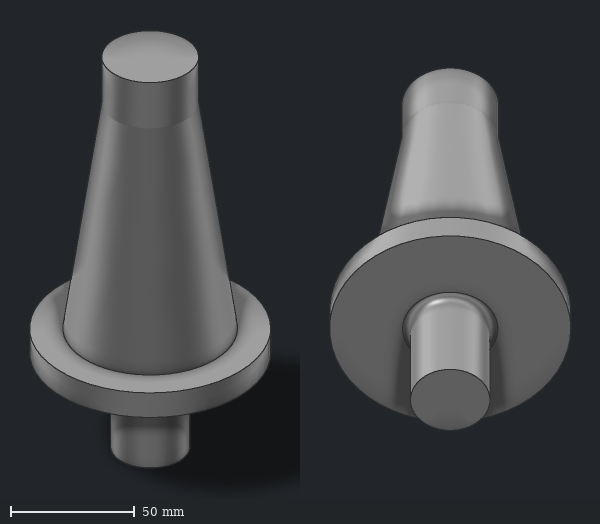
import cadquery as cq
import math

total_height = 186.8
flange_bottom = 45.0
flange_thickness = 11.8
tip_length = 22.0
flange_top = flange_bottom + flange_thickness
cone_top = total_height - tip_length

flange_radius = 97.5 / 2
cone_base_radius = 70.6 / 2
tip_radius = 39.2 / 2
shank_radius = 32.1 / 2

root_height = 5.0
root_width = 3.2


def make_shank():
    """Lower cylinder carrying the flange."""
    return cq.Workplane("XY").circle(shank_radius).extrude(flange_bottom)


def make_root_fillet():
    """Concave ring that blends the shank into the underside of the flange."""
    fillet_start = flange_bottom - root_height
    arc_radius = (root_width**2 + root_height**2) / (2 * root_width)
    half_sweep = math.atan2(root_width, root_height)
    arc_middle = (
        shank_radius + arc_radius * (1 - math.cos(half_sweep)),
        fillet_start + arc_radius * math.sin(half_sweep),
    )
    return (
        cq.Workplane("XZ")
        .moveTo(0, fillet_start)
        .lineTo(shank_radius, fillet_start)
        .threePointArc(arc_middle, (shank_radius + root_width, flange_bottom))
        .lineTo(0, flange_bottom)
        .close()
        .revolve(360, (0, 0), (0, 1))
    )


def make_flange():
    """Flat round collar."""
    return cq.Workplane("XY", origin=(0, 0, flange_bottom)).circle(flange_radius).extrude(flange_thickness)


def make_tapered_body():
    """Cone above the flange, ending in a straight cylindrical tip."""
    return (
        cq.Workplane("XZ")
        .moveTo(0, flange_top)
        .lineTo(cone_base_radius, flange_top)
        .lineTo(tip_radius, cone_top)
        .lineTo(tip_radius, total_height)
        .lineTo(0, total_height)
        .close()
        .revolve(360, (0, 0), (0, 1))
    )


result = make_shank().union(make_root_fillet()).union(make_flange()).union(make_tapered_body())